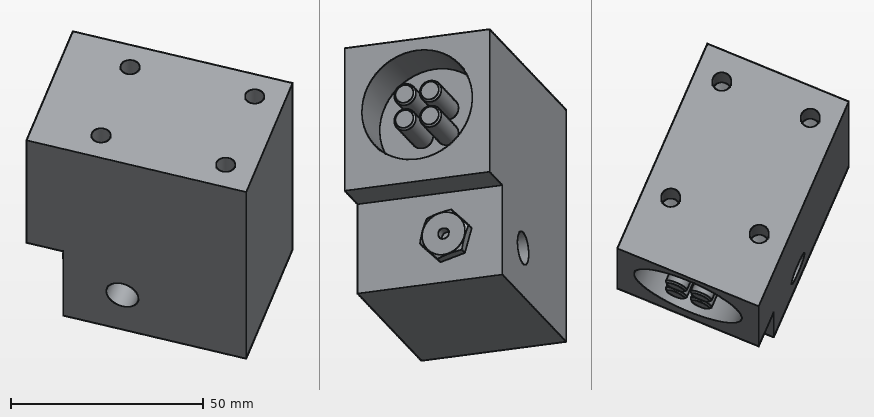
import cadquery as cq
import math

LENGTH = 60.0
WIDTH = 40.0
HEIGHT = 65.0
STEP_DEPTH = 10.0
STEP_HEIGHT = 25.0

BORE_DIAMETER = 30.5
BORE_DEPTH = 14.0
BORE_BELOW_TOP = 18.5
PIN_DIAMETER = 6.0
PIN_SPACING = 7.0
PIN_CHAMFER = 0.5

PLUG_FLATS = 12.0
PLUG_FACE_DIAMETER = 11.8
PLUG_HEIGHT = 3.0
PLUG_CHAMFER_ANGLE = 30.0
PLUG_TURN = 14.2
PLUG_Y = -4.8
PLUG_Z = 12.4
PLUG_HOLE_DIAMETER = 3.0
PLUG_HOLE_DEPTH = 3.0

DRILL_POINT_ANGLE = 118.0
MOUNT_DIAMETER = 5.0
MOUNT_DEPTH = 10.0
MOUNT_SPACING_X = 34.0
MOUNT_SPACING_Y = 25.0
MOUNT_FROM_END = 8.0
PORT_DIAMETER = 8.8
PORT_DEPTH = 13.0
PORT_X = 26.2
PORT_Z = 13.5


def cylinder(diameter, length, start, direction):
    solid = cq.Solid.makeCylinder(diameter / 2, length, cq.Vector(*start), cq.Vector(*direction))
    return cq.Workplane(solid)


def drilled_hole(diameter, depth, start, direction):
    """Cylinder with a drill-point cone at its far end, cut from start along direction."""
    radius = diameter / 2
    point_length = radius / math.tan(math.radians(DRILL_POINT_ANGLE / 2))
    origin = cq.Vector(*start)
    axis = cq.Vector(*direction)
    point = cq.Solid.makeCone(radius, 0, point_length, origin + axis * depth, axis)
    return cylinder(diameter, depth, start, direction).union(cq.Workplane(point))


def stepped_block():
    block = cq.Workplane("XY").box(LENGTH, WIDTH, HEIGHT, centered=(False, True, False))
    step = cq.Workplane("XY").box(STEP_DEPTH, WIDTH, STEP_HEIGHT, centered=(False, True, False))
    return block.cut(step)


def contact_pin(y, z):
    """Pin standing on the bore floor, its end level with the -X face."""
    pin = cylinder(PIN_DIAMETER, BORE_DEPTH, (0, y, z), (1, 0, 0))
    return pin.faces("<X").chamfer(PIN_CHAMFER)


def hexagonal_plug():
    """Hexagon whose outer corners are trimmed by a cone."""
    corner_diameter = PLUG_FLATS / math.cos(math.pi / 6)
    tip_x = STEP_DEPTH - PLUG_HEIGHT
    hexagon = (
        cq.Workplane("YZ", origin=(STEP_DEPTH, PLUG_Y, PLUG_Z))
        .transformed(rotate=(0, 0, -PLUG_TURN))
        .polygon(6, corner_diameter)
        .extrude(-PLUG_HEIGHT)
    )
    face_radius = PLUG_FACE_DIAMETER / 2
    base_radius = face_radius + PLUG_HEIGHT / math.tan(math.radians(PLUG_CHAMFER_ANGLE))
    cone = cq.Solid.makeCone(
        face_radius, base_radius, PLUG_HEIGHT, cq.Vector(tip_x, PLUG_Y, PLUG_Z), cq.Vector(1, 0, 0)
    )
    hole = cylinder(PLUG_HOLE_DIAMETER, PLUG_HOLE_DEPTH, (tip_x, PLUG_Y, PLUG_Z), (1, 0, 0))
    return hexagon.intersect(cq.Workplane(cone)).cut(hole)


result = stepped_block()

bore_z = HEIGHT - BORE_BELOW_TOP
result = result.cut(cylinder(BORE_DIAMETER, BORE_DEPTH, (0, 0, bore_z), (1, 0, 0)))
for pin_y in (-PIN_SPACING / 2, PIN_SPACING / 2):
    for pin_z in (bore_z - PIN_SPACING / 2, bore_z + PIN_SPACING / 2):
        result = result.union(contact_pin(pin_y, pin_z))

result = result.union(hexagonal_plug())

far_x = LENGTH - MOUNT_FROM_END
for mount_x in (far_x - MOUNT_SPACING_X, far_x):
    for mount_y in (-MOUNT_SPACING_Y / 2, MOUNT_SPACING_Y / 2):
        mount_start = (mount_x, mount_y, HEIGHT)
        result = result.cut(drilled_hole(MOUNT_DIAMETER, MOUNT_DEPTH, mount_start, (0, 0, -1)))

port_start = (PORT_X, -WIDTH / 2, PORT_Z)
result = result.cut(drilled_hole(PORT_DIAMETER, PORT_DEPTH, port_start, (0, 1, 0)))